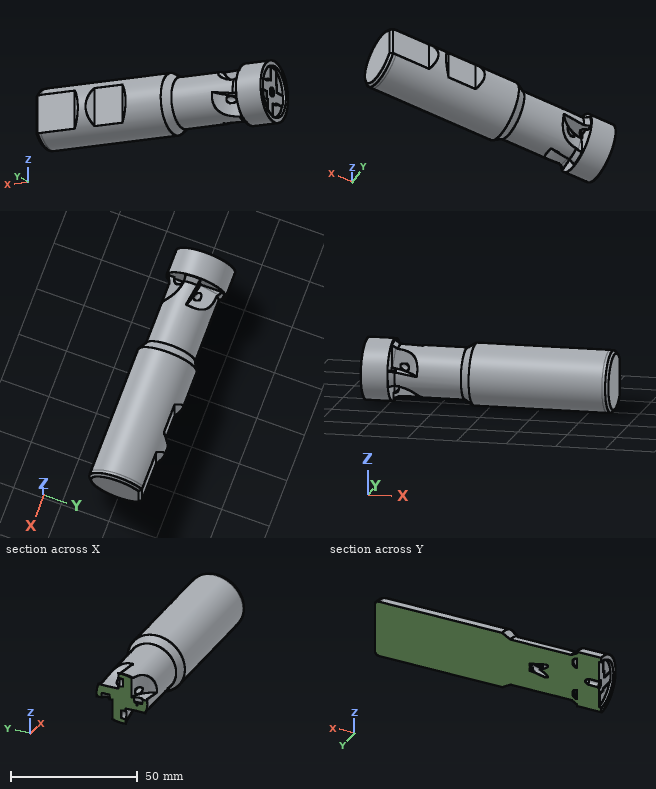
import cadquery as cq
import math

length = 100.0
shank_radius = 12.5
neck_radius = 10.4
cone_angle = math.radians(30)

head_length = 10.8
head_cone_end = 13.2
shank_start = 43.7
head_cone_radius = neck_radius + (head_cone_end - head_length) * math.tan(cone_angle)
neck_end = shank_start - (shank_radius - neck_radius) / math.tan(cone_angle)

end_taper_start = 97.6
end_taper_radius = 12.4
end_chamfer = 1.1

recess_depth = 1.0
recess_mouth_radius = 10.4
recess_floor_radius = 10.1
quadrant_depth = 0.2
arm_seat_side = 0.8
arm_back_side = 3.8
core_half_width = 4.6

center_hole_radius = 1.2
countersink_radius = 1.8
center_hole_depth = 5.0

flute_count = 4
flute_tilt = 9.0
flute_seat_end = 22.4
flute_wall = 4.2
flute_front_wall = 5.0
flute_arc_start = 10.9
flute_arc_radius = 13.4
flute_front_run = 4.0
flute_outer = 14.0
flute_height = 14.0

screw_radius = 2.0
screw_x = 11.0
screw_offset = 7.1
screw_depth = 2.0

coolant_radius = 1.4
coolant_from_seat_end = 3.5
coolant_above_seat = 1.6
coolant_angle = math.radians(20)
coolant_depth = 13.0
coolant_overrun = 5.0

flat_height = 9.8
flat_one_start = 61.8
flat_one_end = 73.9
flat_two_start = 82.7


def around_axis(shape, index):
    """Turn a shape to the position of the given flute."""
    return shape.rotate((0, 0, 0), (1, 0, 0), index * 360 / flute_count)


def tilt_to_seat(shape):
    """Tilt a shape about Y and move its origin to the rear edge of the flute seat."""
    return shape.rotate((0, 0, 0), (0, 1, 0), flute_tilt).translate((flute_seat_end, 0, 0))


def behind_head(shape):
    """Keep only the part of a shape that lies behind the head."""
    side = 4 * shank_radius
    region = cq.Workplane("YZ", origin=(head_length, 0, 0)).rect(side, side).extrude(length)
    return shape.intersect(region)


def make_body():
    """Head, neck and shank turned around X."""
    outline = [
        (0, 0),
        (0, shank_radius),
        (head_length, shank_radius),
        (head_length, head_cone_radius),
        (head_cone_end, neck_radius),
        (neck_end, neck_radius),
        (shank_start, shank_radius),
        (end_taper_start, shank_radius),
        (length - end_chamfer, end_taper_radius),
        (length, end_taper_radius - end_chamfer),
        (length, 0),
    ]
    return cq.Workplane("XY").polyline(outline).close().revolve(360, (0, 0), (1, 0))


def make_front_recess():
    """Tapered recess in the front face."""
    outline = [
        (0, 0),
        (0, recess_mouth_radius),
        (recess_depth, recess_floor_radius),
        (recess_depth, 0),
    ]
    return cq.Workplane("XY").polyline(outline).close().revolve(360, (0, 0), (1, 0))


def make_quadrant():
    """Shallow sunk area between two arms of the cross."""
    outline = [
        (-core_half_width, arm_seat_side),
        (-core_half_width, arm_back_side),
        (-arm_back_side, arm_back_side),
        (-arm_back_side, shank_radius),
        (-shank_radius, shank_radius),
        (-shank_radius, arm_seat_side),
    ]
    corner = cq.Workplane("YZ").polyline(outline).close().extrude(recess_depth + quadrant_depth)
    bore = cq.Workplane("YZ").circle(recess_floor_radius).extrude(recess_depth + quadrant_depth)
    return corner.intersect(bore)


def make_center_hole():
    """Countersunk blind hole with a conical tip."""
    floor = recess_depth
    outline = [
        (floor, 0),
        (floor, countersink_radius),
        (floor + countersink_radius - center_hole_radius, center_hole_radius),
        (floor + center_hole_depth, center_hole_radius),
        (floor + center_hole_depth + center_hole_radius, 0),
    ]
    return cq.Workplane("XY").polyline(outline).close().revolve(360, (0, 0), (1, 0))


def make_flute():
    """Chip flute: a tilted flat seat with a wall that curves out to the neck surface."""
    wall_x = flute_arc_start - flute_seat_end
    front_x = wall_x - flute_front_run
    arc_center_y = -flute_wall - flute_arc_radius
    sweep = math.acos((-flute_outer - arc_center_y) / flute_arc_radius)
    arc_middle, arc_end = [
        (
            wall_x + flute_arc_radius * math.sin(angle),
            arc_center_y + flute_arc_radius * math.cos(angle),
        )
        for angle in (sweep / 2, sweep)
    ]
    profile = (
        cq.Workplane("XY")
        .moveTo(wall_x, -flute_wall)
        .threePointArc(arc_middle, arc_end)
        .lineTo(front_x, -flute_outer)
        .lineTo(front_x, -flute_front_wall)
        .close()
    )
    return behind_head(tilt_to_seat(profile.extrude(flute_height)))


def make_screw_hole():
    """Shallow blind hole square to the flute seat, partly covered by the head."""
    center_x = (screw_x - flute_seat_end) / math.cos(math.radians(flute_tilt))
    hole = (
        cq.Workplane("XY", origin=(center_x, -screw_offset, -screw_depth))
        .circle(screw_radius)
        .extrude(2 * screw_depth)
    )
    return behind_head(tilt_to_seat(hole))


def make_coolant_hole():
    """Slanted blind hole in the flute wall, running inward and rearward parallel to the seat."""
    direction = cq.Vector(math.cos(coolant_angle), math.sin(coolant_angle), 0)
    exit_point = cq.Vector(-coolant_from_seat_end, -flute_wall, coolant_above_seat)
    start = exit_point - direction * coolant_overrun
    hole = cq.Solid.makeCylinder(coolant_radius, coolant_overrun + coolant_depth, start, direction)
    return tilt_to_seat(cq.Workplane(hole))


def make_flat_cutter(start, end):
    """Cutter for a clamping flat; its ends slope outward at 45 degrees."""
    rise = shank_radius - flat_height
    outline = [
        (start, flat_height),
        (start - rise, shank_radius),
        (end + rise, shank_radius),
        (end, flat_height),
    ]
    return cq.Workplane("XY").polyline(outline).close().extrude(shank_radius, both=True)


def make_flat_end_bevel():
    """Bevel along the rear edge of the second flat, continuing the end chamfer."""
    outline = [
        (length - end_chamfer, flat_height),
        (length, flat_height),
        (length, flat_height - end_chamfer),
    ]
    return cq.Workplane("XY").polyline(outline).close().extrude(shank_radius, both=True)


result = make_body().cut(make_front_recess()).cut(make_center_hole())
for index in range(flute_count):
    result = result.cut(around_axis(make_quadrant(), index))
    result = result.cut(around_axis(make_flute(), index))
    result = result.cut(around_axis(make_screw_hole(), index))
    result = result.cut(around_axis(make_coolant_hole(), index))
result = result.cut(make_flat_cutter(flat_one_start, flat_one_end))
result = result.cut(make_flat_cutter(flat_two_start, length))
result = result.cut(make_flat_end_bevel())